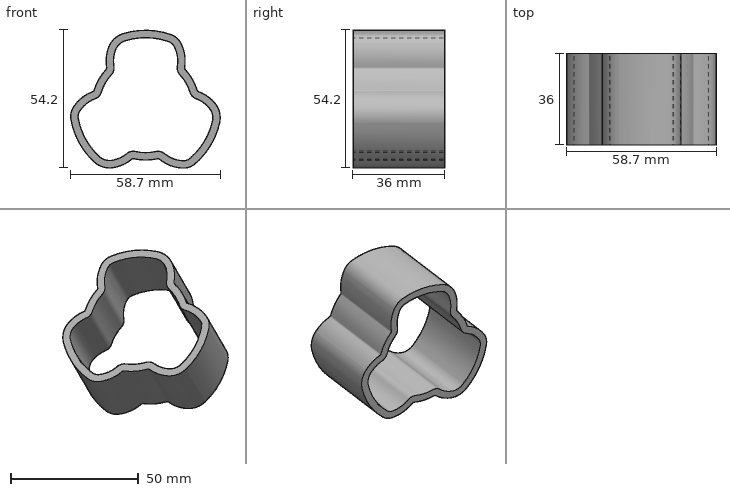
import cadquery as cq
import math

LENGTH = 36.0
WALL = 3.0

CORE_RADIUS = 21.2
LOBE_TIP_RADIUS = 29.8
LOBE_COUNT = 3
LOBE_PITCH = 2 * math.pi / LOBE_COUNT

FLANK_RADIUS = 15.25
LOBE_HALF_WIDTH = 15.55
FLANK_CENTER_X = LOBE_HALF_WIDTH - FLANK_RADIUS
FLANK_CENTER_Z = 17.7

RIGHT_SHOULDER_RADIUS = 7.0
LEFT_SHOULDER_RADIUS = 9.0
NOTCH_RADIUS = 1.0

AXIS = (0, 0)


def along(start, target, distance):
    """Point at a distance from start, in the direction of target."""
    span = math.dist(start, target)
    x = start[0] + (target[0] - start[0]) * distance / span
    z = start[1] + (target[1] - start[1]) * distance / span
    return x, z


def rotate(point, angle):
    """Turn an XZ point counterclockwise about the axis."""
    x, z = point
    return x * math.cos(angle) - z * math.sin(angle), x * math.sin(angle) + z * math.cos(angle)


def blend_center(axis_distance, flank_distance):
    """Centre of a right-hand round at set distances from the axis and the flank centre."""
    center_distance = math.hypot(FLANK_CENTER_X, FLANK_CENTER_Z)
    center_angle = math.atan2(FLANK_CENTER_Z, FLANK_CENTER_X)
    numerator = axis_distance**2 + center_distance**2 - flank_distance**2
    angle = center_angle - math.acos(numerator / (2 * axis_distance * center_distance))
    return axis_distance * math.cos(angle), axis_distance * math.sin(angle)


def right_half(shoulder_radius, inset):
    """Arcs of a right half-lobe, as (centre, radius, end), from the notch up to the tip.

    The inset shifts the whole profile inward while keeping its arc centres.
    """
    flank_center = (FLANK_CENTER_X, FLANK_CENTER_Z)
    notch = blend_center(CORE_RADIUS + NOTCH_RADIUS, FLANK_RADIUS + NOTCH_RADIUS)
    shoulder = blend_center(LOBE_TIP_RADIUS - shoulder_radius, FLANK_RADIUS - shoulder_radius)
    core_end = along(AXIS, notch, CORE_RADIUS - inset)
    notch_end = along(flank_center, notch, FLANK_RADIUS - inset)
    flank_end = along(flank_center, shoulder, FLANK_RADIUS - inset)
    shoulder_end = along(AXIS, shoulder, LOBE_TIP_RADIUS - inset)
    return [
        (AXIS, CORE_RADIUS - inset, core_end),
        (notch, NOTCH_RADIUS + inset, notch_end),
        (flank_center, FLANK_RADIUS - inset, flank_end),
        (shoulder, shoulder_radius - inset, shoulder_end),
    ]


def mirror(point):
    """Reflect an XZ point across the lobe centreline."""
    return -point[0], point[1]


def lobe_arcs(inset):
    """Arcs of the upper lobe, from the core on its right to its left notch."""
    right = right_half(RIGHT_SHOULDER_RADIUS, inset)
    left = right_half(LEFT_SHOULDER_RADIUS, inset)
    left_ends = [mirror(end) for center, radius, end in left]
    arcs = right + [(AXIS, LOBE_TIP_RADIUS - inset, left_ends[-1])]
    for index in range(len(left) - 1, 0, -1):
        center, radius, upper_end = left[index]
        arcs.append((mirror(center), radius, left_ends[index - 1]))
    return arcs


def make_prism(inset):
    """Solid prism of the lobed profile, shifted inward by the inset."""
    arcs = lobe_arcs(inset)
    start = rotate(arcs[-1][2], -LOBE_PITCH)
    profile = cq.Workplane("XZ").moveTo(*start)
    for index in range(LOBE_COUNT):
        turn = index * LOBE_PITCH
        for arc_center, radius, arc_end in arcs:
            center = rotate(arc_center, turn)
            end = rotate(arc_end, turn)
            chord_middle = ((start[0] + end[0]) / 2, (start[1] + end[1]) / 2)
            profile = profile.threePointArc(along(center, chord_middle, radius), end)
            start = end
    return profile.close().extrude(LENGTH)


result = make_prism(0).cut(make_prism(WALL))